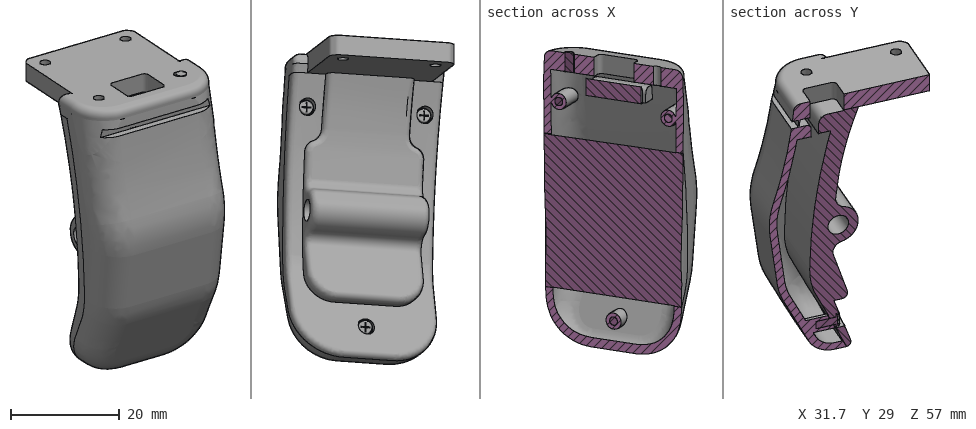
import cadquery as cq
import math


INNER_Y = -0.1

PLATE_THICK = 3.7
PLATE_HALF_WIDTH = 11.95
PLATE_CHAMFER = 1.15
PLATE_ROUND = 1.0
CAP_FRONT = 15.05
CAP_REAR = 27.0
CAP_DEPTH = 2.1
CAP_EDGE_ROUND = 1.6
CAP_REAR_CORNER = 7.05
PLATE_HOLE_DIA = 2.0
PLATE_HOLE_X = (3.1, 20.8)
PLATE_HOLE_PITCH_Y = 17.8
WINDOW_FRONT = 17.0
WINDOW_REAR = 23.65
WINDOW_WIDTH = 8.15
WINDOW_CORNER = 0.85

GRIP_BOTTOM = -56.8
GRIP_WIDTH = 29.0
GRIP_HALF_WIDTH = GRIP_WIDTH / 2
GRIP_TAPER = math.radians(0.6)
GRIP_CORNER = 9.3
FRONT_EDGE_ROUND = 1.0
REAR_EDGE_ROUND = 5.8
WALL = PLATE_THICK - CAP_DEPTH
BLEND_BOTTOM = -21.1
BLEND_REAR = 31.2
BLEND_CORNER = 6.4
NOTCH_HEIGHT = 1.5
NOTCH_FLOOR = 26.0

FRONT_BEND_X = 21.1
FRONT_BEND_Z = -37.0
FRONT_BEND_RADIUS = 14.25
FRONT_TILT = math.radians(19)

UPPER_KNEE = (32.05, -24.45)
UPPER_KNEE_TANGENT = 3.65
UPPER_TILT = math.radians(18)
LOWER_KNEE = (29.9, -41.35)
LOWER_KNEE_TANGENT = 2.15
LOWER_TILT = math.radians(26)

SPLIT_TOP_X = 18.45
SPLIT_MID = (22.55, -22.2)
SPLIT_BEND_START = (23.75, -37.6)
SPLIT_BEND_END = (22.9, -42.7)
SPLIT_END = (16.25, -56.95)

LEDGE_REAR = 22.0
LEDGE_ROUND = 1.9
LEDGE_HEIGHT = 4.0
LEDGE_WIDTH = 11.4
SHELF_FRONT = 23.35
SHELF_ROUND = 1.15
SHELF_HEIGHT = 2.85

PAD_NARROW = 8.45
PAD_WIDE = 11.4
PAD_WIDE_BELOW = 11.15
PAD_STEP_TOP = -13.5
PAD_STEP_BOTTOM = -17.8
PAD_BOTTOM = -45.85
PAD_CORNER = 5.25
PAD_EDGE_ROUND = 1.2
PAD_BACK = 21.65
PAD_TOP_X = 14.0
PAD_TILT = math.radians(17.5)
BARREL_X = 18.05
BARREL_Z = -29.05
BARREL_RADIUS = 4.0
BARREL_HOLE_DIA = 4.0
UPPER_NECK_ANGLE = math.radians(106)
UPPER_NECK_END = (18.5, -22.95)
LOWER_NECK_ANGLE = math.radians(-99.5)
LOWER_NECK_RADIUS = 2.0

SCREW_UPPER_Z = -9.6
SCREW_UPPER_Y = 11.3
SCREW_LOWER_Z = -50.4
SCREW_PLACES = ((SCREW_UPPER_Y, SCREW_UPPER_Z), (-SCREW_UPPER_Y, SCREW_UPPER_Z), (0, SCREW_LOWER_Z))
RECESS_DIA = 3.1
HEAD_DIA = 2.6
HEAD_HEIGHT = 0.7
HEAD_ROUND = 0.2
SHANK_DIA = 1.5
SHANK_LENGTH = 4.0
HEAD_RECESS = 0.45
CROSS_LENGTH = 1.7
CROSS_WIDTH = 0.15
CROSS_DEPTH = 0.45
BOSS_DIA = 3.2
PIN_DIA = 2.0
PIN_X = 21.1
PIN_Y = 9.05
PIN_RISE = 0.15

BIG = 113.9


def front_face_x(z):
    """X of the grip's front face at height z."""
    drop = FRONT_BEND_Z - z
    if drop <= 0:
        span = -CAP_DEPTH - FRONT_BEND_Z
        sag = FRONT_BEND_X - CAP_FRONT
        radius = (span**2 + sag**2) / (2 * sag)
        return FRONT_BEND_X - radius + math.sqrt(radius**2 - drop**2)
    straight_drop = drop - FRONT_BEND_RADIUS * math.sin(FRONT_TILT)
    bend_shift = FRONT_BEND_RADIUS * (1 - math.cos(FRONT_TILT))
    return FRONT_BEND_X - bend_shift - straight_drop * math.tan(FRONT_TILT)


def prism(sketch):
    """Solid that fills an XZ outline across the whole width."""
    return sketch.extrude(BIG / 2, both=True)


def grip_side():
    """Side profile of the grip, from the cap down to the tip."""
    bend_end_z = FRONT_BEND_Z - FRONT_BEND_RADIUS * math.sin(FRONT_TILT)
    mid_z = (FRONT_BEND_Z - CAP_DEPTH) / 2
    knee_x, knee_z = LOWER_KNEE
    tip_rear_x = knee_x - (knee_z - GRIP_BOTTOM) * math.tan(LOWER_TILT)
    between = math.atan2(UPPER_KNEE[1] - knee_z, UPPER_KNEE[0] - knee_x)

    def along(point, angle, distance):
        return (point[0] + distance * math.cos(angle), point[1] + distance * math.sin(angle))

    up = math.pi / 2
    return (
        cq.Workplane("XZ")
        .moveTo(CAP_FRONT, -CAP_DEPTH)
        .threePointArc((front_face_x(mid_z), mid_z), (FRONT_BEND_X, FRONT_BEND_Z))
        .tangentArcPoint((front_face_x(bend_end_z), bend_end_z), relative=False)
        .lineTo(front_face_x(GRIP_BOTTOM), GRIP_BOTTOM)
        .lineTo(tip_rear_x, GRIP_BOTTOM)
        .lineTo(*along(LOWER_KNEE, -up - LOWER_TILT, LOWER_KNEE_TANGENT))
        .tangentArcPoint(along(LOWER_KNEE, between, LOWER_KNEE_TANGENT), relative=False)
        .lineTo(*along(UPPER_KNEE, between + math.pi, UPPER_KNEE_TANGENT))
        .tangentArcPoint(along(UPPER_KNEE, up + UPPER_TILT, UPPER_KNEE_TANGENT), relative=False)
        .tangentArcPoint((CAP_REAR, -CAP_DEPTH), relative=False)
        .close()
    )


def grip_front():
    """Tapered outline of the grip with a rounded lower end."""
    turn = math.pi / 2 - GRIP_TAPER
    corner_z = GRIP_BOTTOM + GRIP_CORNER * (1 - math.cos(turn))
    corner_y = GRIP_HALF_WIDTH - (-CAP_DEPTH - corner_z) * math.tan(GRIP_TAPER)
    flat_y = corner_y - GRIP_CORNER * math.sin(turn)
    return (
        cq.Workplane("YZ")
        .moveTo(GRIP_HALF_WIDTH, -CAP_DEPTH)
        .lineTo(corner_y, corner_z)
        .tangentArcPoint((flat_y, GRIP_BOTTOM), relative=False)
        .lineTo(-flat_y, GRIP_BOTTOM)
        .tangentArcPoint((-corner_y, corner_z), relative=False)
        .lineTo(-GRIP_HALF_WIDTH, -CAP_DEPTH)
        .close()
    )


def grip(inset):
    """Grip without its cap, pulled in all round by the inset."""
    side = grip_side()
    front = grip_front()
    if inset > 0:
        side = side.offset2D(-inset)
        front = front.offset2D(-inset)
    body = prism(side).intersect(front.extrude(BIG))
    return body.faces("<Z").edges(">X").fillet(REAR_EDGE_ROUND - inset)


def corner_blend():
    """Envelope that eases the rear corners from the cap's radius into the grip's radius."""
    def section(z, rear, radius):
        block = cq.Workplane("XY", origin=(0, 0, z)).box(
            rear, GRIP_WIDTH, 0.55, centered=(False, True, False)
        )
        return block.edges("|Z and >X").fillet(radius).faces("<Z").wires().val()

    top = section(-CAP_DEPTH, CAP_REAR, CAP_REAR_CORNER)
    bottom = section(BLEND_BOTTOM, BLEND_REAR, BLEND_CORNER)
    upper = cq.Workplane(cq.Solid.makeLoft([top, bottom], True))
    lower = cq.Workplane("XY", origin=(0, 0, BLEND_BOTTOM)).rect(BIG, BIG).extrude(GRIP_BOTTOM)
    return upper.union(lower)


def cap():
    """Rounded block that closes the top of the grip."""
    block = (
        cq.Workplane("XY")
        .box(CAP_REAR - CAP_FRONT, GRIP_WIDTH, CAP_DEPTH, centered=(False, True, False))
        .translate((CAP_FRONT, 0, -CAP_DEPTH))
    )
    block = block.edges("|Z and >X").fillet(CAP_REAR_CORNER)
    block = block.edges("|Z and <X").fillet(FRONT_EDGE_ROUND)
    return block.faces(">Z").edges().fillet(CAP_EDGE_ROUND)


def plate():
    """Mounting plate, from its free edge to the parting surface inside the grip."""
    slab = (
        cq.Workplane("XY")
        .box(SPLIT_TOP_X, 2 * PLATE_HALF_WIDTH, PLATE_THICK, centered=(False, True, False))
        .translate((0, INNER_Y, -PLATE_THICK))
    )
    slab = slab.edges("|Z and <X").chamfer(PLATE_CHAMFER)
    return slab.edges("|Z and (not >X)").fillet(PLATE_ROUND)


def cover_zone():
    """Everything below the plate and in front of the parting surface."""
    return prism(
        cq.Workplane("XZ")
        .moveTo(0, -PLATE_THICK)
        .lineTo(SPLIT_TOP_X, -PLATE_THICK)
        .threePointArc(SPLIT_MID, SPLIT_BEND_START)
        .tangentArcPoint(SPLIT_BEND_END, relative=False)
        .lineTo(*SPLIT_END)
        .lineTo(0, SPLIT_END[1])
        .close()
    )


def pad_side():
    """Side profile of the raised pad: smooth runs that sweep through round necks onto the hinge barrel."""
    def from_barrel(angle, distance):
        return (BARREL_X + distance * math.cos(angle), BARREL_Z + distance * math.sin(angle))

    neck_x, neck_z = from_barrel(LOWER_NECK_ANGLE, BARREL_RADIUS + LOWER_NECK_RADIUS)
    neck_end_x = neck_x + LOWER_NECK_RADIUS * math.cos(PAD_TILT)
    neck_end_z = neck_z - LOWER_NECK_RADIUS * math.sin(PAD_TILT)
    foot_x = neck_end_x - (neck_end_z - PAD_BOTTOM) * math.tan(PAD_TILT)
    return prism(
        cq.Workplane("XZ")
        .moveTo(PAD_BACK, PAD_BOTTOM)
        .lineTo(foot_x, PAD_BOTTOM)
        .lineTo(neck_end_x, neck_end_z)
        .tangentArcPoint(from_barrel(LOWER_NECK_ANGLE, BARREL_RADIUS), relative=False)
        .tangentArcPoint(from_barrel(UPPER_NECK_ANGLE, BARREL_RADIUS), relative=False)
        .tangentArcPoint(UPPER_NECK_END, relative=False)
        .tangentArcPoint((PAD_TOP_X, -PLATE_THICK), relative=False)
        .lineTo(PAD_BACK, -PLATE_THICK)
        .close()
    )


def pad_front():
    """Outline of the pad: narrow between the upper screws, wide at the barrel, rounded below."""
    step_mid = ((PAD_NARROW + PAD_WIDE) / 2, (PAD_STEP_TOP + PAD_STEP_BOTTOM) / 2)
    corner_z = PAD_BOTTOM + PAD_CORNER
    flat = PAD_WIDE_BELOW - PAD_CORNER
    return (
        cq.Workplane("YZ")
        .moveTo(PAD_NARROW, -PLATE_THICK)
        .lineTo(PAD_NARROW, PAD_STEP_TOP)
        .tangentArcPoint(step_mid, relative=False)
        .tangentArcPoint((PAD_WIDE, PAD_STEP_BOTTOM), relative=False)
        .lineTo(PAD_WIDE_BELOW, corner_z)
        .tangentArcPoint((flat, PAD_BOTTOM), relative=False)
        .lineTo(0, PAD_BOTTOM)
        .lineTo(0, -PLATE_THICK)
        .close()
        .extrude(PAD_BACK)
    )


def pad():
    """Raised pad with the hinge barrel, its front edge rounded."""
    half = pad_front()
    outline = half.union(half.mirror("XZ")).clean()
    body = pad_side().intersect(outline)
    return body.faces("<Z").edges("<X").fillet(PAD_EDGE_ROUND).translate((0, INNER_Y, 0))


def rod_x(diameter, start_x, length, y, z):
    """Round bar along X."""
    return cq.Workplane("YZ", origin=(start_x, y, z)).circle(diameter / 2).extrude(length)


def rod_z(diameter, x, y):
    """Round bar from the plate top down through the plate."""
    return cq.Workplane("XY").center(x, y).circle(diameter / 2).extrude(-PLATE_THICK)


def seat_x(z):
    """X where a screw head rests in the cover."""
    return front_face_x(z) + HEAD_RECESS + HEAD_HEIGHT


def shelf():
    """Round-nosed shelf on the rear wall, level with the notch floor, reaching under the window."""
    top = -PLATE_THICK - NOTCH_HEIGHT
    return (
        cq.Workplane("XY", origin=(SHELF_FRONT, 0, top - SHELF_HEIGHT))
        .box(BIG, LEDGE_WIDTH, SHELF_HEIGHT, centered=(False, True, False))
        .edges("|Y and <X and >Z")
        .fillet(SHELF_ROUND)
    )


def make_housing(outer_grip):
    """Hollow rear shell, cap and mounting plate in one piece."""
    hollow = grip(WALL).cut(cover_zone()).cut(shelf())
    for y, z in SCREW_PLACES:
        hollow = hollow.cut(rod_x(BOSS_DIA, 0, BIG, y, z))
    body = outer_grip.cut(hollow).union(cap()).union(plate()).cut(cover_zone())
    for y, z in SCREW_PLACES:
        body = body.cut(rod_x(SHANK_DIA, seat_x(z), SHANK_LENGTH, y, z))
    for x in PLATE_HOLE_X:
        for side in (-1, 1):
            y = INNER_Y + side * PLATE_HOLE_PITCH_Y / 2
            body = body.cut(rod_z(PLATE_HOLE_DIA, x, y))
    body = body.cut(rod_z(PIN_DIA, PIN_X, PIN_Y))
    window = (
        cq.Workplane("XY", origin=((WINDOW_FRONT + WINDOW_REAR) / 2, INNER_Y, 0))
        .rect(WINDOW_REAR - WINDOW_FRONT, WINDOW_WIDTH)
        .extrude(-PLATE_THICK)
        .edges("|Z")
        .fillet(WINDOW_CORNER)
    )
    notch = (
        cq.Workplane("XY", origin=(NOTCH_FLOOR, 0, -PLATE_THICK))
        .box(BIG, BIG, NOTCH_HEIGHT, centered=(False, True, False))
        .translate((0, 0, -NOTCH_HEIGHT))
    )
    return body.cut(window).cut(notch)


def make_cover(outer_grip):
    """Front cover with the raised pad, the hinge barrel and the ledge under the window."""
    zone = cover_zone()
    ledge = (
        cq.Workplane("XY", origin=(SPLIT_TOP_X, 0, -PLATE_THICK))
        .box(LEDGE_REAR - SPLIT_TOP_X, LEDGE_WIDTH, LEDGE_HEIGHT, centered=(False, True, False))
        .translate((0, 0, -LEDGE_HEIGHT))
        .edges("|Y and >X and >Z")
        .fillet(LEDGE_ROUND)
    )
    body = outer_grip.intersect(zone).union(pad().intersect(zone)).union(ledge)
    barrel_hole = prism(cq.Workplane("XZ").center(BARREL_X, BARREL_Z).circle(BARREL_HOLE_DIA / 2))
    body = body.cut(barrel_hole)
    for y, z in SCREW_PLACES:
        body = body.cut(rod_x(RECESS_DIA, 0, seat_x(z), y, z))
        body = body.cut(rod_x(SHANK_DIA, 0, BIG, y, z))
    return body


def make_screw(y, z):
    """Cross-head screw along X, its head sunk below the cover's front face."""
    seat = seat_x(z)
    top = seat - HEAD_HEIGHT
    head = rod_x(HEAD_DIA, top, HEAD_HEIGHT, y, z).faces("<X").edges().fillet(HEAD_ROUND)
    screw = head.union(rod_x(SHANK_DIA, seat, SHANK_LENGTH, y, z))
    for size in ((CROSS_LENGTH, CROSS_WIDTH), (CROSS_WIDTH, CROSS_LENGTH)):
        screw = screw.cut(cq.Workplane("YZ", origin=(top, y, z)).rect(*size).extrude(CROSS_DEPTH))
    return screw


def make_pin():
    """Round pin through the plate, standing slightly proud of its top."""
    pin = cq.Workplane("XY").center(PIN_X, PIN_Y).circle(PIN_DIA / 2)
    return pin.extrude(PLATE_THICK + PIN_RISE).translate((0, 0, -PLATE_THICK))


outer_grip = grip(0).faces("<Z").edges("<X").fillet(FRONT_EDGE_ROUND).intersect(corner_blend())
housing = make_housing(outer_grip)
cover = make_cover(outer_grip)
screws = [make_screw(y, z) for y, z in SCREW_PLACES]
pin = make_pin()

result = cq.Compound.makeCompound(
    [housing.val(), cover.val(), *[screw.val() for screw in screws], pin.val()]
)